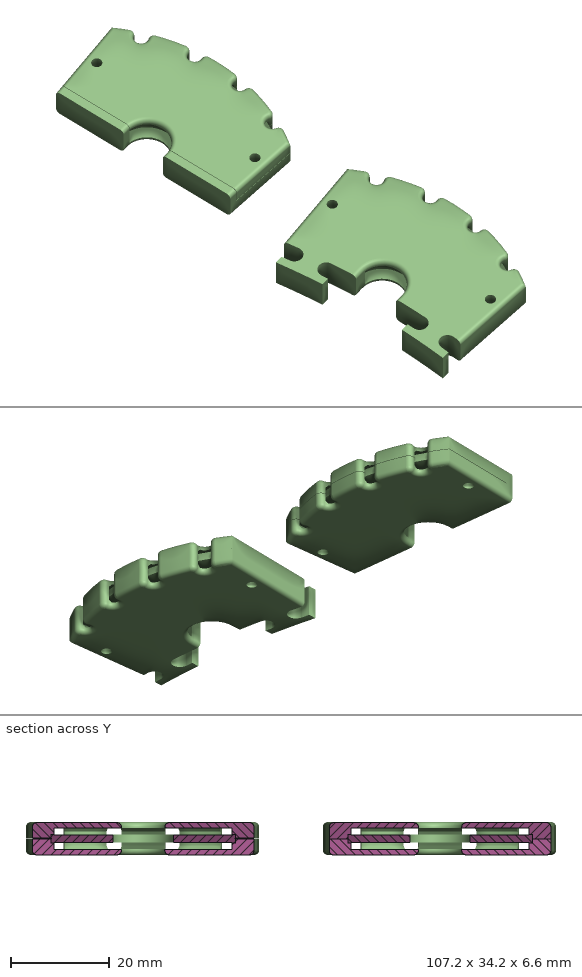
import cadquery as cq
import math


CASE_SPACING = 60.0
CASE_HEIGHT = 6.6
BASE_HALF_WIDTH = 22.2
SIDE_TAPER = 4.1
BASE_Y = -1.2
EDGE_ROUND = 1.0
ARCH_RADIUS = 4.98

FAN_X = -1.6
FAN_Y = -18.2
FAN_RADIUS = 43.3
FAN_AXIS = 87.7
NOTCH_PITCH = 16.2
NOTCH_COUNT = 4
NOTCH_RADIUS = 1.5
NOTCH_DEPTH = 2.9
LIP_RADIUS = 1.2

SEAM_Z = CASE_HEIGHT / 2
STRIP_Y = 0.7
PLAIN_SEAM_GAP = 0.1

HOLE_DIAMETER = 2.2
HOLE_X = 20.1
HOLE_Y = 9.6

BOARD_THICKNESS = 1.6
BOARD_RADIUS = 41.8
BOARD_ARCH_RADIUS = 6.5
BOARD_SIDE_INSET = 3.9
HOLLOW_HEIGHT = 1.3
HOLLOW_SIDE_INSET = 4.5
HOLLOW_CHAMFER = 0.6

SHOULDER_X = 4.8
SHOULDER_TOP_Y = -1.9
SHOULDER_RADIUS = 176.7
NECK_LENGTH = 3.6
FOOT_THICKNESS = 1.8
FOOT_WIDTH = 10.9
NECK_WIDTH = 3.9
FOOT_CENTRES = (-14.6, 16.3)

BELOW_CASE = -10.7
ABOVE_CASE = 32.1
WIDE = 64.3
MARGIN = 1.1
TOLERANCE = 0.01
NECK_OVERLAP = 0.3


def half_width(y):
    """Half width of the tapered case at height y."""
    return BASE_HALF_WIDTH + (y - BASE_Y) * math.tan(math.radians(SIDE_TAPER))


def cylinder(x, y, radius, height=CASE_HEIGHT):
    return cq.Workplane("XY").center(x, y).circle(radius).extrude(height)


def box(x_min, x_max, y_min, y_max, height=CASE_HEIGHT):
    block = cq.Workplane("XY").box(x_max - x_min, y_max - y_min, height, centered=False)
    return block.translate((x_min, y_min, 0))


def tapered_slab(bottom_y, side_inset, height):
    """Slab between the leaning sides, far taller than the case."""
    low = half_width(bottom_y) - side_inset
    high = half_width(ABOVE_CASE) - side_inset
    corners = [(-low, bottom_y), (low, bottom_y), (high, ABOVE_CASE), (-high, ABOVE_CASE)]
    return cq.Workplane("XY").polyline(corners).close().extrude(height)


def fan(radius, side_inset, height):
    """Tapered block above the strip, topped by an arc about the fan centre."""
    return tapered_slab(STRIP_Y, side_inset, height).intersect(cylinder(FAN_X, FAN_Y, radius, height))


def cut_arch(block, radius):
    """Open a thumb arch: a round top with straight walls below it."""
    block = block.cut(cylinder(0, 0, radius))
    return block.cut(box(-radius, radius, BELOW_CASE, 0))


def cut_notches(block):
    """Cut the finger notches into the rim and round their lips."""
    floor_centre = FAN_RADIUS - NOTCH_DEPTH + NOTCH_RADIUS
    for index in range(NOTCH_COUNT):
        angle = FAN_AXIS + (index - (NOTCH_COUNT - 1) / 2) * NOTCH_PITCH
        notch = cylinder(floor_centre, 0, NOTCH_RADIUS)
        notch = notch.union(box(floor_centre, FAN_RADIUS + MARGIN, -NOTCH_RADIUS, NOTCH_RADIUS))
        notch = notch.rotate((0, 0, 0), (0, 0, 1), angle).translate((FAN_X, FAN_Y, 0))
        block = block.cut(notch)

    def is_lip(edge):
        centre = edge.Center()
        rim_distance = math.hypot(centre.x - FAN_X, centre.y - FAN_Y) - FAN_RADIUS
        return abs(rim_distance) < TOLERANCE and abs(centre.x) < half_width(centre.y)

    return block.newObject([e for e in block.edges("|Z").vals() if is_lip(e)]).fillet(LIP_RADIUS)


def round_edges(block, is_rounded):
    """Round those edges of the top and bottom faces whose middle passes the test."""
    edges = block.faces("<Z or >Z").edges().vals()
    return block.newObject([e for e in edges if is_rounded(e.Center())]).fillet(EDGE_ROUND)


def case_block():
    """Outer shape shared by both cases, running on below the base."""
    sides = tapered_slab(BELOW_CASE, 0, CASE_HEIGHT)
    sides = round_edges(sides, lambda middle: abs(middle.x) > MARGIN)

    half_wide = WIDE / 2
    rim = box(-half_wide, half_wide, BELOW_CASE, ABOVE_CASE)
    rim = rim.intersect(cylinder(FAN_X, FAN_Y, FAN_RADIUS))
    rim = cut_notches(cut_arch(rim, ARCH_RADIUS))

    def on_rim_or_arch(middle):
        return middle.y > BELOW_CASE + MARGIN and abs(middle.x) < half_wide - MARGIN

    rim = round_edges(rim, on_rim_or_arch)
    return rim.intersect(sides)


def plain_block():
    """Outer shape of the case with the straight base."""
    return case_block().intersect(box(-WIDE / 2, WIDE / 2, BASE_Y, ABOVE_CASE))


def footed_block():
    """Outer shape of the case with the curved base and the feet."""
    shoulder_y = SHOULDER_TOP_Y - SHOULDER_RADIUS
    block = case_block().cut(cylinder(SHOULDER_X, shoulder_y, SHOULDER_RADIUS))
    for x in FOOT_CENTRES:
        block = block.union(foot(x, shoulder_y))
    return block


def foot(x, centre_y):
    """T-shaped foot hanging from the curved base, its neck flared by two round slot ends."""
    neck_end = SHOULDER_RADIUS - NECK_LENGTH
    foot_end = neck_end - FOOT_THICKNESS
    slot_radius = NECK_LENGTH / 2
    slot_offset = NECK_WIDTH / 2 + slot_radius

    def band(inner, outer, half):
        strip = cylinder(SHOULDER_X, centre_y, outer).cut(cylinder(SHOULDER_X, centre_y, inner))
        return strip.intersect(box(x - half, x + half, BELOW_CASE, 0))

    neck = band(neck_end - NECK_OVERLAP, SHOULDER_RADIUS + NECK_OVERLAP, slot_offset)
    slot_path = neck_end + slot_radius
    for slot_x in (x - slot_offset, x + slot_offset):
        slot_y = centre_y + math.sqrt(slot_path**2 - (slot_x - SHOULDER_X) ** 2)
        neck = neck.cut(cylinder(slot_x, slot_y, slot_radius))
    return neck.union(band(foot_end, neck_end, FOOT_WIDTH / 2))


def make_board():
    """Circuit board whose rim forms a shelf in the notches and whose arch is set back."""
    board = cut_arch(fan(BOARD_RADIUS, BOARD_SIDE_INSET, BOARD_THICKNESS), BOARD_ARCH_RADIUS)
    return board.translate((0, 0, SEAM_Z - BOARD_THICKNESS / 2))


def make_cavity():
    """Pocket for the board plus a hollow above and below it with a bevelled rim."""
    pocket = fan(BOARD_RADIUS, BOARD_SIDE_INSET, BOARD_THICKNESS)
    pocket = pocket.translate((0, 0, SEAM_Z - BOARD_THICKNESS / 2))
    depth = BOARD_THICKNESS / 2 + HOLLOW_HEIGHT
    upper = fan(BOARD_RADIUS, HOLLOW_SIDE_INSET, depth)
    upper = upper.faces(">Z").edges("%CIRCLE").chamfer(HOLLOW_CHAMFER)
    lower = upper.mirror("XY")
    hollow = upper.union(lower).translate((0, 0, SEAM_Z))
    return pocket.union(hollow)


def make_shells(block, seam_gap):
    """Hollow out the case, drill it and split it into its lower and upper shells."""
    block = block.cut(make_cavity())
    for x in (-HOLE_X, HOLE_X):
        block = block.cut(cylinder(x, HOLE_Y, HOLE_DIAMETER / 2))
    lower_cut = box(-WIDE / 2, WIDE / 2, STRIP_Y, ABOVE_CASE).translate((0, 0, SEAM_Z))
    upper_space = lower_cut.translate((0, seam_gap, seam_gap))
    return block.cut(lower_cut), block.intersect(upper_space)


board = make_board()
plain_lower, plain_upper = make_shells(plain_block(), PLAIN_SEAM_GAP)
footed_lower, footed_upper = make_shells(footed_block(), 0)

cases = [
    (-CASE_SPACING / 2, (plain_lower, plain_upper, board)),
    (CASE_SPACING / 2, (footed_lower, footed_upper, board)),
]
result = cq.Compound.makeCompound(
    [body.translate((x, 0, 0)).val() for x, bodies in cases for body in bodies]
)